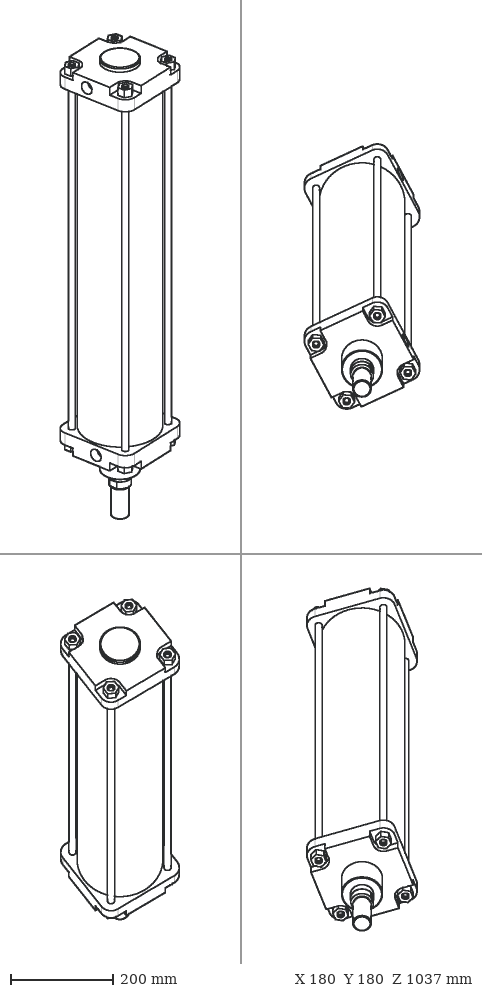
import cadquery as cq
import math

overall_length = 1037.0
cover_thickness = 45.0
cap_disc_height = 10.0
boss_length = 55.0
rod_collar_length = 15.0
rod_flat_length = 16.0
rod_thread_length = 72.0

cover_width = 180.0
tie_rod_pitch = 134.0
corner_radius = (cover_width - tie_rod_pitch) / 2
recess_radius = 20.7
recess_depth = 17.5
boss_diameter = 80.0
boss_chamfer = 1.5
cap_disc_chamfer = 2.5
port_diameter = 26.0
port_depth = 20.0
port_offset = 11.5

barrel_diameter = 168.0
tie_rod_diameter = 14.0
nut_across_flats = 27.0
tie_rod_end_setback = 4.0
socket_across_flats = 10.0
socket_depth = 8.0
rod_diameter = 45.5
wrench_section_diameter = 45.0
rod_across_flats = 41.5
thread_diameter = 36.0
thread_start_chamfer = 1.5
thread_relief_diameter = thread_diameter - 2 * thread_start_chamfer
thread_relief_length = 3.0
rod_tip_chamfer = 2.0

rod_protrusion = rod_collar_length + rod_flat_length + rod_thread_length
rear_face = overall_length - rod_protrusion - boss_length - cap_disc_height
barrel_bottom = cover_thickness
barrel_top = rear_face - cover_thickness
tie_rod_positions = [
    (x, y)
    for x in (-tie_rod_pitch / 2, tie_rod_pitch / 2)
    for y in (-tie_rod_pitch / 2, tie_rod_pitch / 2)
]


def hexagon_prism(across_flats, bottom, height):
    """Hexagonal prism on the Z axis with two corners along X."""
    across_corners = across_flats / math.cos(math.pi / 6)
    profile = cq.Workplane("XY", origin=(0, 0, bottom))
    return profile.polygon(6, across_corners).extrude(height)


def cylinder(diameter, bottom, height):
    """Cylinder on the Z axis."""
    return cq.Workplane("XY", origin=(0, 0, bottom)).circle(diameter / 2).extrude(height)


def corner_recess(x, y, bottom):
    """Nut recess: round towards the middle of the cover, open on the two sides of its corner."""
    side_x = 1 if x > 0 else -1
    side_y = 1 if y > 0 else -1
    width = 2 * recess_radius
    reach = cover_width - tie_rod_pitch
    recess = cylinder(width, bottom, recess_depth).translate((x, y, 0))
    for size_x, size_y, shift_x, shift_y in (
        (width, reach, 0, side_y * reach / 2),
        (reach, width, side_x * reach / 2, 0),
    ):
        slot = cq.Workplane("XY", origin=(x + shift_x, y + shift_y, bottom))
        recess = recess.union(slot.rect(size_x, size_y).extrude(recess_depth))
    return recess


def cover(bottom, recess_bottom, port_x):
    """Rounded square cover with four nut recesses, tie rod holes and a port in the -Y side."""
    body = cq.Workplane("XY", origin=(0, 0, bottom)).rect(cover_width, cover_width)
    body = body.extrude(cover_thickness).edges("|Z").fillet(corner_radius)
    for x, y in tie_rod_positions:
        body = body.cut(corner_recess(x, y, recess_bottom))
        body = body.cut(cylinder(tie_rod_diameter, bottom, cover_thickness).translate((x, y, 0)))
    port = cq.Workplane("XZ", origin=(port_x, -cover_width / 2, bottom + cover_thickness / 2))
    return body.cut(port.circle(port_diameter / 2).extrude(-port_depth))


def make_front_cover():
    """Front cover with a boss bored for the piston rod."""
    boss = cylinder(boss_diameter, -boss_length, boss_length).faces("<Z").chamfer(boss_chamfer)
    rod_bore = cylinder(rod_diameter, -boss_length, boss_length + cover_thickness)
    return cover(0, 0, port_offset).union(boss).cut(rod_bore)


def make_rear_cover():
    """Rear cover with a chamfered disc on its outer face."""
    disc = cylinder(boss_diameter, rear_face, cap_disc_height).faces(">Z").chamfer(cap_disc_chamfer)
    return cover(barrel_top, rear_face - recess_depth, -port_offset).union(disc)


def make_barrel():
    """Plain cylinder between the two covers."""
    return cylinder(barrel_diameter, barrel_bottom, barrel_top - barrel_bottom)


def make_piston_rod():
    """Rod from barrel to threaded tip, with a slightly thinner wrench section flattened at -Y and +Y."""
    flats_top = -boss_length - rod_collar_length
    flats_bottom = flats_top - rod_flat_length
    relief_bottom = flats_bottom - thread_relief_length
    tip = -boss_length - rod_protrusion

    shank = cylinder(rod_diameter, flats_top, barrel_bottom - flats_top)
    slab = cq.Workplane("XY", origin=(0, 0, flats_bottom)).rect(rod_diameter, rod_across_flats)
    wrench_section = cylinder(wrench_section_diameter, flats_bottom, rod_flat_length)
    wrench_section = wrench_section.intersect(slab.extrude(rod_flat_length))
    relief = cylinder(thread_relief_diameter, relief_bottom, thread_relief_length)
    thread = cylinder(thread_diameter, tip, relief_bottom - tip)
    thread = thread.faces("<Z").chamfer(rod_tip_chamfer).faces(">Z").chamfer(thread_start_chamfer)
    return shank.union(wrench_section).union(relief).union(thread)


def make_tie_rod():
    """Tie rod with a hexagon nut at each end, set back in the nut and with a hexagon socket."""
    rod = cylinder(tie_rod_diameter, 0, rear_face)
    for nut_bottom, setback_bottom, socket_bottom in (
        (0, 0, 0),
        (rear_face - recess_depth, rear_face - tie_rod_end_setback, rear_face - socket_depth),
    ):
        rod = rod.union(hexagon_prism(nut_across_flats, nut_bottom, recess_depth))
        rod = rod.cut(cylinder(tie_rod_diameter, setback_bottom, tie_rod_end_setback))
        rod = rod.cut(hexagon_prism(socket_across_flats, socket_bottom, socket_depth))
    return rod


front_cover = make_front_cover()
rear_cover = make_rear_cover()
barrel = make_barrel()
piston_rod = make_piston_rod()
tie_rods = [make_tie_rod().translate((x, y, 0)) for x, y in tie_rod_positions]

result = cq.Compound.makeCompound(
    [front_cover.val(), rear_cover.val(), barrel.val(), piston_rod.val(), *[rod.val() for rod in tie_rods]]
)